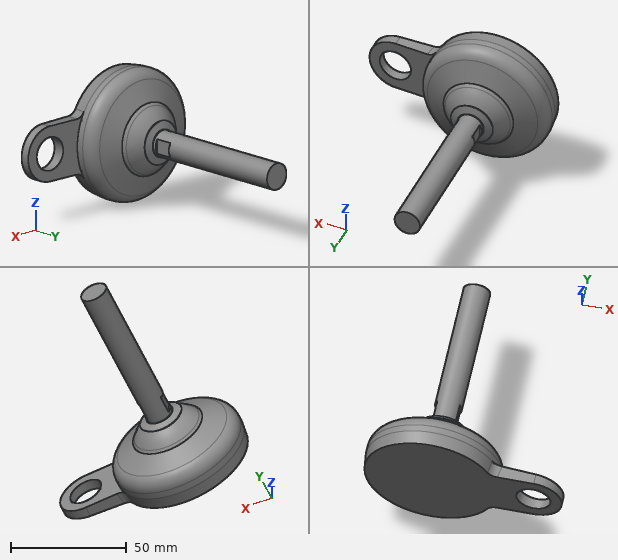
import cadquery as cq
import math

TOTAL_HEIGHT = 98.0

FOOT_RADIUS = 30.0
BOTTOM_RADIUS = 29.2
RIM_HEIGHT = 6.1
BAND_TOP = 9.2
SHOULDER_RADIUS = 7.0
NECK_RADIUS = 16.5
NECK_HEIGHT = 19.9
DOME_RADIUS = 19.4
DOME_CENTRE_HEIGHT = 9.3
DOME_START = 21.2
FOOT_TOP = 26.5

LUG_RADIUS = 12.5
LUG_CENTRE = 88.0 - FOOT_RADIUS - LUG_RADIUS
LUG_HOLE_RADIUS = 7.5
LUG_TIP_HEIGHT = 4.1
LUG_SLOPE_START = 27.2
LUG_FILLET = 5.0

STEM_RADIUS = 6.0
STEM_BOTTOM = 28.4
COLLAR_BOTTOM_RADIUS = 9.2
COLLAR_RADIUS = 9.9
COLLAR_EDGE_HEIGHT = 27.0
COLLAR_TOP_RADIUS = 6.3
ACROSS_FLATS = 10.0
FLAT_BOTTOM = 30.0
FLAT_TOP = 38.0


def dome_radius_at(height):
    """Radius of the spherical dome at a height."""
    return math.sqrt(DOME_RADIUS**2 - (height - DOME_CENTRE_HEIGHT) ** 2)


def make_rim_with_lug():
    """Conical lower rim blended into the sloping lug."""
    rim = (
        cq.Workplane("XY")
        .polyline([(0, 0), (BOTTOM_RADIUS, 0), (FOOT_RADIUS, RIM_HEIGHT), (0, RIM_HEIGHT)])
        .close()
        .revolve(360, (0, 0), (0, 1))
    )
    lug = (
        cq.Workplane("XZ")
        .moveTo(0, -LUG_RADIUS)
        .lineTo(LUG_CENTRE, -LUG_RADIUS)
        .threePointArc((LUG_CENTRE + LUG_RADIUS, 0), (LUG_CENTRE, LUG_RADIUS))
        .lineTo(0, LUG_RADIUS)
        .close()
        .extrude(-RIM_HEIGHT)
    )
    corner_x = math.sqrt(FOOT_RADIUS**2 - LUG_RADIUS**2)
    rounded = rim.union(lug)
    for side in (-1, 1):
        corner = (corner_x, RIM_HEIGHT / 2, side * LUG_RADIUS)
        rounded = rounded.edges(cq.selectors.NearestToPointSelector(corner)).fillet(LUG_FILLET)

    lug_tip = LUG_CENTRE + LUG_RADIUS
    above_slope = (
        cq.Workplane("XY")
        .polyline([(LUG_SLOPE_START, RIM_HEIGHT), (lug_tip, LUG_TIP_HEIGHT), (lug_tip, RIM_HEIGHT)])
        .close()
        .extrude(FOOT_RADIUS, both=True)
    )
    hole = (
        cq.Workplane("XZ").center(LUG_CENTRE, 0).circle(LUG_HOLE_RADIUS).extrude(-RIM_HEIGHT)
    )
    return rounded.cut(above_slope).cut(hole)


def make_foot_cap():
    """Revolved upper foot: band, rounded shoulder, sloping flank and dome."""
    arc_x = FOOT_RADIUS - SHOULDER_RADIUS
    run = NECK_RADIUS - arc_x
    rise = NECK_HEIGHT - BAND_TOP
    tangent_angle = math.atan2(rise, run) - math.acos(SHOULDER_RADIUS / math.hypot(run, rise))

    def shoulder_point(angle):
        return (
            arc_x + SHOULDER_RADIUS * math.cos(angle),
            BAND_TOP + SHOULDER_RADIUS * math.sin(angle),
        )

    dome_middle = (DOME_START + FOOT_TOP) / 2
    return (
        cq.Workplane("XY")
        .moveTo(0, RIM_HEIGHT)
        .lineTo(FOOT_RADIUS, RIM_HEIGHT)
        .lineTo(FOOT_RADIUS, BAND_TOP)
        .threePointArc(shoulder_point(tangent_angle / 2), shoulder_point(tangent_angle))
        .lineTo(NECK_RADIUS, NECK_HEIGHT)
        .lineTo(dome_radius_at(DOME_START), DOME_START)
        .threePointArc(
            (dome_radius_at(dome_middle), dome_middle),
            (dome_radius_at(FOOT_TOP), FOOT_TOP),
        )
        .lineTo(0, FOOT_TOP)
        .close()
        .revolve(360, (0, 0), (0, 1))
    )


def make_foot():
    return make_rim_with_lug().union(make_foot_cap())


def make_spindle():
    """Round stem on a thin tapered collar, with two wrench flats facing -X and +X."""
    turned = (
        cq.Workplane("XY")
        .polyline(
            [
                (0, FOOT_TOP),
                (COLLAR_BOTTOM_RADIUS, FOOT_TOP),
                (COLLAR_RADIUS, COLLAR_EDGE_HEIGHT),
                (COLLAR_TOP_RADIUS, STEM_BOTTOM),
                (STEM_RADIUS, STEM_BOTTOM),
                (STEM_RADIUS, TOTAL_HEIGHT),
                (0, TOTAL_HEIGHT),
            ]
        )
        .close()
        .revolve(360, (0, 0), (0, 1))
    )
    flat_length = FLAT_TOP - FLAT_BOTTOM
    for side in (-1, 1):
        cutter = cq.Workplane("XY").box(STEM_RADIUS, flat_length, 2 * STEM_RADIUS)
        cutter_x = side * (ACROSS_FLATS + STEM_RADIUS) / 2
        turned = turned.cut(cutter.translate((cutter_x, FLAT_BOTTOM + flat_length / 2, 0)))
    return turned


to_centre = (0, -TOTAL_HEIGHT / 2, 0)
foot = make_foot().translate(to_centre)
spindle = make_spindle().translate(to_centre)

result = cq.Compound.makeCompound([foot.val(), spindle.val()])